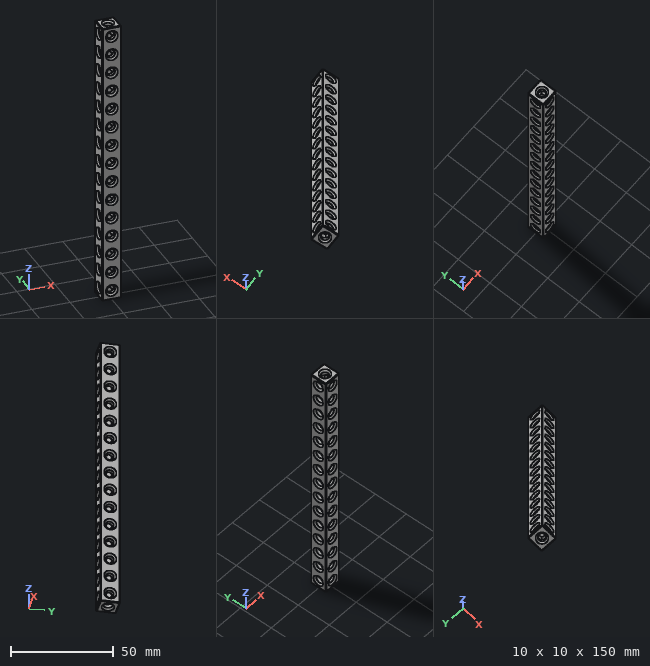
import cadquery as cq

length = 150.0
cell_count = 15
pitch = length / cell_count
width = pitch
edge_chamfer = 0.4

hole_diameter = 4.2
sink_depth = 1.0
sink_diameter = hole_diameter + 2 * sink_depth


def make_bar():
    """Square bar centred on the origin, with every outer edge chamfered."""
    return cq.Workplane("XY").box(width, width, length).edges().chamfer(edge_chamfer)


def countersunk_hole(span):
    """Cutter along Z, centred on the origin, countersunk at both ends of its span."""
    hole_radius = hole_diameter / 2
    sink_radius = sink_diameter / 2
    half_span = span / 2
    sink_floor = half_span - sink_depth
    profile = [
        (0, -half_span),
        (sink_radius, -half_span),
        (hole_radius, -sink_floor),
        (hole_radius, sink_floor),
        (sink_radius, half_span),
        (0, half_span),
    ]
    return cq.Workplane("XZ").polyline(profile).close().revolve(360, (0, 0), (0, 1))


lengthwise_hole = countersunk_hole(length)
cross_hole = countersunk_hole(width)
hole_along_x = cross_hole.rotate((0, 0, 0), (0, 1, 0), 90)
hole_along_y = cross_hole.rotate((0, 0, 0), (1, 0, 0), 90)

result = make_bar().cut(lengthwise_hole)
for cell in range(cell_count):
    cell_height = (cell + 0.5) * pitch - length / 2
    result = result.cut(hole_along_x.translate((0, 0, cell_height)))
    result = result.cut(hole_along_y.translate((0, 0, cell_height)))